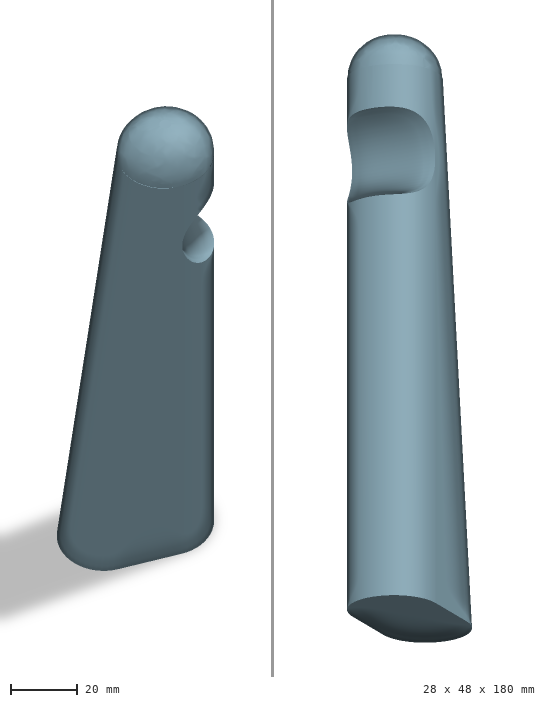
import cadquery as cq
import math

height = 180.0
width = 28.0
base_depth = 48.0

end_radius = width / 2
neck_height = 167.0
neck_depth = 29.3
back_y = base_depth / 2

tip_diameter = 3.5

notch_radius = 13.9
notch_height = 139.9


def slot_wire(depth, z):
    """Slot outline of the given depth whose back edge lies on the back plane."""
    center_y = back_y - depth / 2
    return (
        cq.Workplane("XY", origin=(0, center_y, z))
        .slot2D(depth, width, 90)
        .val()
    )


def make_body():
    wires = [slot_wire(base_depth, 0), slot_wire(neck_depth, neck_height)]
    return cq.Workplane(cq.Solid.makeLoft(wires, True))


def make_dome():
    """Rounded profile revolved, then stretched in Y to the neck depth."""
    tip_radius = tip_diameter / 2
    cap_height = height - neck_height
    arc_run = end_radius - tip_radius
    diagonal = math.sqrt(0.5)
    arc_middle = (tip_radius + arc_run * diagonal, cap_height * diagonal)
    profile = (
        cq.Workplane("XZ")
        .lineTo(end_radius, 0)
        .threePointArc(arc_middle, (tip_radius, cap_height))
        .lineTo(0, cap_height)
        .close()
    )
    cap = profile.revolve(360, (0, 0, 0), (0, 1, 0)).val()
    stretch = cq.Matrix([[1, 0, 0, 0], [0, neck_depth / width, 0, 0], [0, 0, 1, 0], [0, 0, 0, 1]])
    neck_center = (0, back_y - neck_depth / 2, neck_height)
    return cq.Workplane(cap.transformGeometry(stretch)).translate(neck_center)


def make_notch():
    return (
        cq.Workplane("YZ", origin=(0, back_y, notch_height))
        .circle(notch_radius)
        .extrude(width, both=True)
    )


result = make_body().union(make_dome()).cut(make_notch())